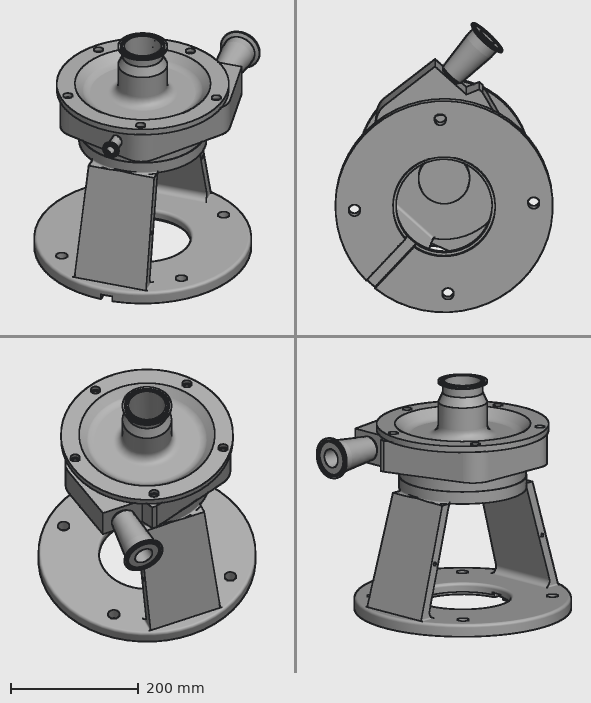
import cadquery as cq
import math

BASE_R = 170.0
BASE_T = 20.0
BASE_ROUND = 5.0
BASE_OPENING_R = 75.0
UNDERSIDE_STEP_R = 80.0
UNDERSIDE_STEP_DEPTH = 5.5
ANCHOR_HOLE_D = 18.0
ANCHOR_PITCH_R = 140.2
NOTCH_WIDTH = 18.5
NOTCH_HEIGHT = 9.0

LEG_FOOT_Y = 152.5
LEG_HEAD_Y = 100.3
LEG_THICKNESS_Y = 15.5
LEG_FOOT_HALF_WIDTH = 59.2
LEG_HEAD_HALF_WIDTH = 54.5
FOOT_FILLET = 10.0
FOOT_SIDE_FILLET = 2.5
HEAD_FILLET = 5.0
HEAD_SEAM_FILLET = 2.5
CROSS_HOLE_D = 5.0
CROSS_HOLE_Z = 106.0

HOUSING_Z = 196.0
HOUSING_R = 100.0
HOUSING_RING_TOP_Z = 215.7
HOUSING_NECK_R = 99.0
HUB_R = 40.0
HUB_Z = 185.0

CASING_Z = 239.0
CASING_TOP_Z = 289.5
CASING_APOTHEM = 114.5
CORNER_R = 34.8
BOLT_COUNT = 5
VOLUTE_APOTHEM = 140.2
VOLUTE_ANGLE = 9.0
OUTLET_FACE_Y = 114.0
TONGUE_Y = 133.5
TONGUE_X = 48.0
TONGUE_ROOT_X = 57.5

COVER_R = 134.5
COVER_TOP_Z = 299.5
BOLT_PITCH_R = 122.0
BOLT_HOLE_R = 4.5
BOLT_TIP = 2.5
BOLT_HEAD_R = 7.5
BOLT_HEAD_DEPTH = 7.5
BOLT_DEPTH = 29.5
DISH_RIM_R = 106.2
DISH_RIM_CHAMFER = 2.5
DISH_BLEND_R = 93.5
DISH_FLOOR_R = 82.5
DISH_FLOOR_Z = 282.5
DISH_BLEND_HEIGHT = 4.8
NECK_R = 38.5
NECK_FILLET = 15.0
NECK_TOP_Z = 335.0
INLET_TUBE_R = 31.5
INLET_TUBE_Z = 350.0
INLET_END_Z = 369.0
INLET_BORE_R = 29.2

FERRULE_RIM = 2.5
FERRULE_TAPER = 3.0
GASKET_GROOVE_DEPTH = 1.5
INLET_GROOVE_R = 32.2
INLET_GROOVE_WIDTH = 2.5
OUTLET_GROOVE_R = 26.3
OUTLET_GROOVE_WIDTH = 2.5
DRAIN_GROOVE_R = 9.2
DRAIN_GROOVE_WIDTH = 1.5

PIPE_X = 91.5
PIPE_Z = 264.0
OUTLET_END_Y = 370 - BASE_R
OUTLET_FERRULE_R = 32.2
OUTLET_TUBE_R = 25.5
OUTLET_CONE_END_Y = 179.0
OUTLET_ROOT_R = 19.2
OUTLET_ROOT_Y = 117.3
OUTLET_COLLAR_R = 16.3
OUTLET_BORE_R = 14.8

DRAIN_Z = 265.5
DRAIN_REACH = 150.2
DRAIN_FERRULE_R = 13.0
DRAIN_TUBE_R = 9.0
DRAIN_BORE_R = 7.0


def disc(radius, z_bottom, z_top):
    return cq.Workplane("XY").workplane(offset=z_bottom).circle(radius).extrude(z_top - z_bottom)


def polar(radius, degrees):
    angle = math.radians(degrees)
    return radius * math.cos(angle), radius * math.sin(angle)


def x_on_wall(apothem, degrees, y):
    """X of the point with the given Y on a straight wall given by apothem and normal angle."""
    normal_x, normal_y = polar(1, degrees)
    return (apothem - y * normal_y) / normal_x


def tangent_corner(apothem_a, angle_a, apothem_b, angle_b, radius):
    """Start, middle and end of the arc that rounds two walls given by normal angle and apothem."""
    ax, ay = polar(1, angle_a)
    bx, by = polar(1, angle_b)
    a, b = apothem_a - radius, apothem_b - radius
    det = ax * by - ay * bx
    cx, cy = (a * by - b * ay) / det, (ax * b - bx * a) / det
    offsets = [polar(radius, t) for t in (angle_a, (angle_a + angle_b) / 2, angle_b)]
    return [(cx + dx, cy + dy) for dx, dy in offsets]


def make_base():
    base = disc(BASE_R, 0, BASE_T).cut(disc(BASE_OPENING_R, 0, BASE_T))
    base = base.faces(">Z").edges().fillet(BASE_ROUND)
    base = base.cut(disc(UNDERSIDE_STEP_R, 0, UNDERSIDE_STEP_DEPTH))
    anchors = (
        cq.Workplane("XY")
        .polarArray(ANCHOR_PITCH_R, 45, 360, 4)
        .circle(ANCHOR_HOLE_D / 2)
        .extrude(BASE_T)
    )
    notch = cq.Workplane("XY").box(NOTCH_WIDTH, BASE_R, NOTCH_HEIGHT, centered=(True, False, False))
    return base.cut(anchors).cut(notch.translate((0, -BASE_R, 0)))


def make_leg():
    """Inclined, tapering leg on the -Y side, blended into base and housing."""
    lean = math.atan2(HOUSING_Z - BASE_T, LEG_FOOT_Y - LEG_HEAD_Y)
    along_y, along_z = math.cos(lean), math.sin(lean)
    foot_y = LEG_THICKNESS_Y - LEG_FOOT_Y
    head_y = LEG_THICKNESS_Y - LEG_HEAD_Y
    foot_run = FOOT_FILLET / math.tan(lean / 2)
    head_run = HEAD_FILLET * math.tan(lean / 2)

    slab = (
        cq.Workplane("YZ")
        .moveTo(foot_y + foot_run, BASE_T)
        .lineTo(-LEG_FOOT_Y, BASE_T)
        .lineTo(-LEG_HEAD_Y, HOUSING_Z)
        .lineTo(head_y + head_run, HOUSING_Z)
        .radiusArc((head_y - head_run * along_y, HOUSING_Z - head_run * along_z), -HEAD_FILLET)
        .lineTo(foot_y + foot_run * along_y, BASE_T + foot_run * along_z)
        .radiusArc((foot_y + foot_run, BASE_T), -FOOT_FILLET)
        .close()
        .extrude(BASE_R, both=True)
    )
    flare_x = LEG_FOOT_HALF_WIDTH + FOOT_SIDE_FILLET
    flare_z = BASE_T + FOOT_SIDE_FILLET
    width_mask = (
        cq.Workplane("XZ")
        .moveTo(-flare_x, BASE_T)
        .lineTo(flare_x, BASE_T)
        .radiusArc((LEG_FOOT_HALF_WIDTH, flare_z), FOOT_SIDE_FILLET)
        .lineTo(LEG_HEAD_HALF_WIDTH, HOUSING_Z)
        .lineTo(-LEG_HEAD_HALF_WIDTH, HOUSING_Z)
        .lineTo(-LEG_FOOT_HALF_WIDTH, flare_z)
        .radiusArc((-flare_x, BASE_T), FOOT_SIDE_FILLET)
        .close()
        .extrude(BASE_R)
    )
    hole_y = -LEG_FOOT_Y + LEG_THICKNESS_Y / 2 + (CROSS_HOLE_Z - BASE_T) / math.tan(lean)
    cross_hole = (
        cq.Workplane("YZ")
        .center(hole_y, CROSS_HOLE_Z)
        .circle(CROSS_HOLE_D / 2)
        .extrude(BASE_R, both=True)
    )
    return slab.intersect(width_mask).cut(cross_hole)


def make_head_seam():
    """Small fillet between the flat head of the -Y leg and the round housing wall."""
    ring = (
        cq.Workplane("XZ")
        .moveTo(HOUSING_R - HEAD_SEAM_FILLET, HOUSING_Z)
        .lineTo(HOUSING_R + HEAD_SEAM_FILLET, HOUSING_Z)
        .radiusArc((HOUSING_R, HOUSING_Z + HEAD_SEAM_FILLET), HEAD_SEAM_FILLET)
        .lineTo(HOUSING_R - HEAD_SEAM_FILLET, HOUSING_Z + HEAD_SEAM_FILLET)
        .close()
        .revolve(360, (0, 0, 0), (0, 1, 0))
    )
    head = cq.Workplane("XY").box(2 * LEG_HEAD_HALF_WIDTH, LEG_HEAD_Y, HOUSING_Z, centered=(True, False, False))
    return ring.intersect(head.translate((0, -LEG_HEAD_Y, HOUSING_Z)))


def make_housing():
    ring = disc(HOUSING_R, HOUSING_Z, HOUSING_RING_TOP_Z)
    neck = disc(HOUSING_NECK_R, HOUSING_RING_TOP_Z, CASING_Z)
    hub = disc(HUB_R, HUB_Z, HOUSING_Z)
    return ring.union(neck).union(hub)


def make_casing():
    """Five-sided casing with rounded corners at the bolts and a volute swelling towards the outlet."""
    step = 360 / BOLT_COUNT
    start, middle, end = tangent_corner(CASING_APOTHEM, -step / 2, VOLUTE_APOTHEM, VOLUTE_ANGLE, CORNER_R)
    volute_tip_x = x_on_wall(VOLUTE_APOTHEM, VOLUTE_ANGLE, OUTLET_FACE_Y)
    tongue_tip_x = x_on_wall(CASING_APOTHEM, 1.5 * step, TONGUE_Y)

    outline = (
        cq.Workplane("XY")
        .workplane(offset=CASING_Z)
        .moveTo(*start)
        .threePointArc(middle, end)
        .lineTo(volute_tip_x, OUTLET_FACE_Y)
        .lineTo(TONGUE_ROOT_X, OUTLET_FACE_Y)
        .lineTo(TONGUE_X, TONGUE_Y)
        .lineTo(tongue_tip_x, TONGUE_Y)
    )
    for corner in range(2, BOLT_COUNT):
        wall = (corner - 0.5) * step
        start, middle, end = tangent_corner(CASING_APOTHEM, wall, CASING_APOTHEM, wall + step, CORNER_R)
        outline = outline.lineTo(*start).threePointArc(middle, end)
    return outline.close().extrude(CASING_TOP_Z - CASING_Z)


def make_dish_cut():
    """Annular recess around the inlet neck."""
    top_z = COVER_TOP_Z
    blend_z = DISH_FLOOR_Z + DISH_BLEND_HEIGHT
    return (
        cq.Workplane("XZ")
        .moveTo(NECK_R, top_z)
        .lineTo(DISH_RIM_R, top_z)
        .lineTo(DISH_RIM_R - DISH_RIM_CHAMFER, top_z - DISH_RIM_CHAMFER)
        .lineTo(DISH_BLEND_R, blend_z)
        .tangentArcPoint((DISH_FLOOR_R, DISH_FLOOR_Z), relative=False)
        .lineTo(NECK_R + NECK_FILLET, DISH_FLOOR_Z)
        .tangentArcPoint((NECK_R, DISH_FLOOR_Z + NECK_FILLET), relative=False)
        .close()
        .revolve(360, (0, 0, 0), (0, 1, 0))
    )


def pipe(profile_points):
    """Solid of revolution about Z from (radius, height) points, closed on the axis."""
    first_z = profile_points[0][1]
    last_z = profile_points[-1][1]
    points = profile_points + [(0, last_z), (0, first_z)]
    return cq.Workplane("XZ").polyline(points).close().revolve(360, (0, 0, 0), (0, 1, 0))


def ferrule(tube_r, rim_r, end):
    """Profile points of a clamp ferrule: tube, tapered back and thin rim ending at the given height."""
    back = end - FERRULE_RIM
    return [(tube_r, back - FERRULE_TAPER), (rim_r, back), (rim_r, end)]


def gasket_groove(inner_r, width, end):
    floor = end - GASKET_GROOVE_DEPTH
    return disc(inner_r + width, floor, end).cut(disc(inner_r, floor, end))


def make_inlet():
    points = [(NECK_R, COVER_TOP_Z), (NECK_R, NECK_TOP_Z), (INLET_TUBE_R, INLET_TUBE_Z)]
    body = pipe(points + ferrule(INLET_TUBE_R, NECK_R, INLET_END_Z))
    return body.cut(gasket_groove(INLET_GROOVE_R, INLET_GROOVE_WIDTH, INLET_END_Z))


def make_outlet():
    points = [
        (OUTLET_COLLAR_R, OUTLET_FACE_Y),
        (OUTLET_COLLAR_R, OUTLET_ROOT_Y),
        (OUTLET_ROOT_R, OUTLET_ROOT_Y),
        (OUTLET_TUBE_R, OUTLET_CONE_END_Y),
    ]
    body = pipe(points + ferrule(OUTLET_TUBE_R, OUTLET_FERRULE_R, OUTLET_END_Y))
    body = body.cut(gasket_groove(OUTLET_GROOVE_R, OUTLET_GROOVE_WIDTH, OUTLET_END_Y))
    bore = disc(OUTLET_BORE_R, OUTLET_FACE_Y, OUTLET_END_Y)
    return body.cut(bore).rotate((0, 0, 0), (1, 0, 0), -90).translate((PIPE_X, 0, PIPE_Z))


def make_drain():
    points = [(DRAIN_TUBE_R, CASING_APOTHEM - DRAIN_TUBE_R)]
    body = pipe(points + ferrule(DRAIN_TUBE_R, DRAIN_FERRULE_R, DRAIN_REACH))
    body = body.cut(gasket_groove(DRAIN_GROOVE_R, DRAIN_GROOVE_WIDTH, DRAIN_REACH))
    bore = disc(DRAIN_BORE_R, CASING_APOTHEM, DRAIN_REACH)
    return body.cut(bore).rotate((0, 0, 0), (1, 0, 0), 90).translate((0, 0, DRAIN_Z))


def make_bolt_holes():
    tip_z = COVER_TOP_Z - BOLT_DEPTH
    head_z = COVER_TOP_Z - BOLT_HEAD_DEPTH
    drill_tip = cq.Workplane(cq.Solid.makeCone(0, BOLT_HOLE_R, BOLT_TIP)).translate((0, 0, tip_z))
    hole = pipe([
        (BOLT_HOLE_R, tip_z + BOLT_TIP),
        (BOLT_HOLE_R, head_z),
        (BOLT_HEAD_R, head_z),
        (BOLT_HEAD_R, COVER_TOP_Z),
    ]).union(drill_tip)
    holes = cq.Workplane("XY")
    for index in range(BOLT_COUNT):
        holes = holes.union(hole.translate((*polar(BOLT_PITCH_R, index * 360 / BOLT_COUNT), 0)))
    return holes


leg = make_leg().union(make_head_seam())
result = (
    make_base()
    .union(leg)
    .union(leg.mirror("XZ"))
    .union(make_housing())
    .union(make_casing())
    .union(disc(COVER_R, CASING_TOP_Z, COVER_TOP_Z))
    .cut(make_dish_cut())
    .union(make_inlet())
    .union(make_outlet())
    .union(make_drain())
    .cut(make_bolt_holes())
    .cut(disc(INLET_BORE_R, DISH_FLOOR_Z, INLET_END_Z))
)